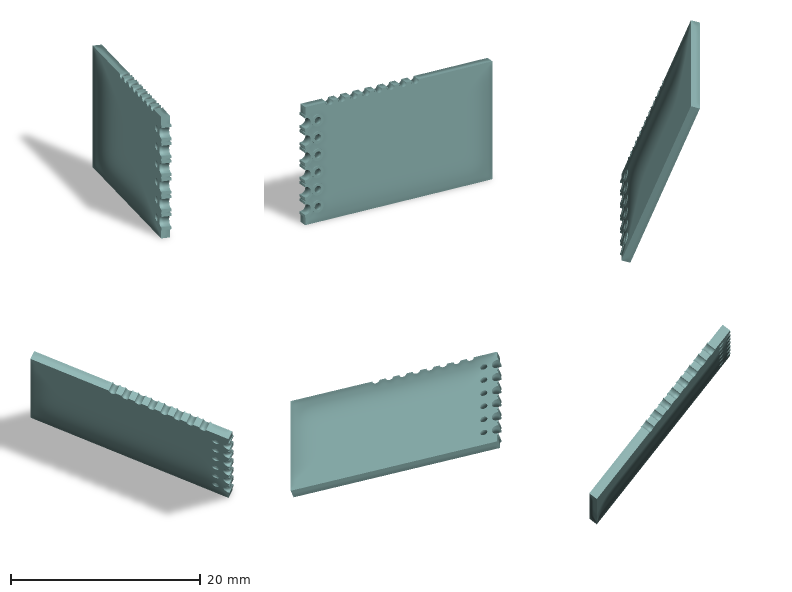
import cadquery as cq

total_length = 23.1
total_thickness = 1.1
board_height = 13.7

copper_thickness = 0.1
board_length = total_length - copper_thickness
board_thickness = total_thickness - copper_thickness

top_notch_count = 8
top_notch_first_x = 9.5
top_notch_span = 10.5
top_notch_radius = 0.4
top_pad_radius = 0.5

contact_count = 6
contact_span = 10.0
hole_x = 21.5
hole_radius = 0.4
hole_pad_radius = 0.7
edge_notch_radius = 0.6
edge_pad_radius = 0.9


def spaced(first, span, count):
    """Evenly spaced positions from first to first + span."""
    return [first + span * i / (count - 1) for i in range(count)]


top_notches = [(x, board_height) for x in spaced(top_notch_first_x, top_notch_span, top_notch_count)]
contact_heights = spaced((board_height - contact_span) / 2, contact_span, contact_count)
holes = [(hole_x, z) for z in contact_heights]
edge_notches = [(board_length, z) for z in contact_heights]


def block(length, height, depth):
    """Box with its corner at the origin, running from the front face towards +Y."""
    return cq.Workplane("XY").box(length, depth, height, centered=False)


def discs(centers, radius, depth):
    """Cylinders at (x, z) centers, running from the front face towards +Y."""
    return cq.Workplane("XZ").pushPoints(centers).circle(radius).extrude(-depth)


def edge_strips(half_width):
    """Full-depth strips along the right edge, one beside each castellation center."""
    strips = cq.Workplane("XY")
    for x, z in edge_notches:
        strip = block(copper_thickness, 2 * half_width, total_thickness)
        strips = strips.add(strip.translate((x, 0, z - half_width)))
    return strips.combine()


board = block(board_length, board_height, board_thickness)

pads = discs(top_notches, top_pad_radius, total_thickness)
pads = pads.union(discs(holes, hole_pad_radius, total_thickness))
pads = pads.union(discs(edge_notches, edge_pad_radius, total_thickness))
pads = pads.intersect(block(board_length, board_height, total_thickness))

body = board.union(pads).union(edge_strips(edge_pad_radius))

body = body.cut(discs(top_notches, top_notch_radius, total_thickness))
body = body.cut(discs(holes, hole_radius, total_thickness))
body = body.cut(discs(edge_notches, edge_notch_radius, total_thickness))
result = body.cut(edge_strips(edge_notch_radius))